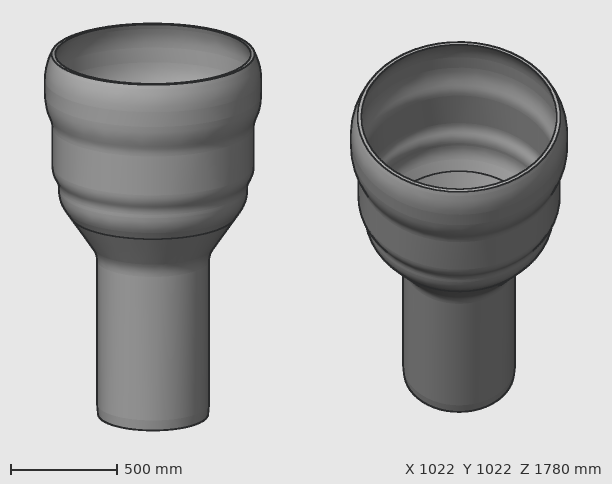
import cadquery as cq
import math

total_height = 1780.0
wall = 16.0

pipe_radius = 530.0 / 2
neck_radius = 890.0 / 2
barrel_radius = 952.0 / 2
bulge_radius = 1022.0 / 2

taper_height = 52.0
taper_depth = 4.5

pipe_top = 762.0
joint_height = 990.0
neck_height = 16.0
barrel_height = 192.0
bulge_height = 73.0

cone_angle = math.radians(34.0)
cone_foot_bend = 121.0
cone_head_bend = 146.0
shoulder_foot_bend = 82.0
shoulder_head_bend = 115.0
bulge_foot_bend = 121.0
bulge_bend = 253.0
shoulder_angle = math.acos(1 - (barrel_radius - neck_radius) / (shoulder_foot_bend + shoulder_head_bend))
bulge_angle = math.acos(1 - (bulge_radius - barrel_radius) / (bulge_foot_bend + bulge_bend))


def go_straight(station, rise):
    """Follow the wall straight up by a given rise."""
    radius, height, lean = station
    return (radius + rise * math.tan(lean), height + rise, lean)


def go_round(station, bend, new_lean):
    """Follow a tangent arc of the given bend radius until the wall has a new lean."""
    radius, height, lean = station
    signed_bend = math.copysign(bend, new_lean - lean)
    return (
        radius + signed_bend * (math.cos(lean) - math.cos(new_lean)),
        height + signed_bend * (math.sin(new_lean) - math.sin(lean)),
        new_lean,
    )


def inner_point(station):
    """Point on the inner surface, one wall thickness square to the outer surface."""
    radius, height, lean = station
    return (radius - wall * math.cos(lean), height + wall * math.sin(lean))


def level_inner_point(station):
    """Point on the inner surface at the same height, for the flat end faces."""
    radius, height, lean = station
    return (radius - wall / math.cos(lean), height)


def outer_point(station):
    return station[:2]


def arc_middle(start, end):
    """Station halfway round the arc between two stations, given in either order."""
    lower, upper = sorted((start, end), key=lambda station: station[1])
    bend = (upper[1] - lower[1]) / abs(math.sin(upper[2]) - math.sin(lower[2]))
    return go_round(lower, bend, (lower[2] + upper[2]) / 2)


def draw_wall(outline, stations, points, place):
    """Add the lines and arcs of one surface to an outline already at its first point."""
    for start, end, point in zip(stations, stations[1:], points[1:]):
        if start[2] == end[2]:
            outline = outline.lineTo(*point)
        else:
            outline = outline.threePointArc(place(arc_middle(start, end)), point)
    return outline


def revolve_shell(stations, foot_taper=0.0):
    """Solid of revolution with a constant wall and flat, level ends."""
    outer = [outer_point(station) for station in stations]
    outer[0] = (outer[0][0] - foot_taper, outer[0][1])
    inner = [inner_point(station) for station in stations]
    inner[0] = level_inner_point(stations[0])
    inner[-1] = level_inner_point(stations[-1])
    outline = cq.Workplane("XZ").moveTo(*outer[0])
    outline = draw_wall(outline, stations, outer, outer_point)
    outline = outline.lineTo(*inner[-1])
    outline = draw_wall(outline, stations[::-1], inner[::-1], inner_point)
    return outline.close().revolve(360, (0, 0, 0), (0, 1, 0))


cone_bend_growth = (cone_foot_bend + cone_head_bend) * (1 - math.cos(cone_angle))
cone_rise = (neck_radius - pipe_radius - cone_bend_growth) / math.tan(cone_angle)
cone_foot = go_round((pipe_radius, pipe_top, 0.0), cone_foot_bend, cone_angle)
lower_cone_rise = joint_height - cone_foot[1]
joint = go_straight(cone_foot, lower_cone_rise)


def make_pipe():
    """Straight pipe with the lower part of the cone."""
    stations = [
        (pipe_radius, 0.0, 0.0),
        (pipe_radius, taper_height, 0.0),
        (pipe_radius, pipe_top, 0.0),
        cone_foot,
        joint,
    ]
    return revolve_shell(stations, taper_depth)


def make_socket():
    """Top of the cone, neck, shoulder, barrel and bulged mouth."""
    stations = [joint]
    stations.append(go_straight(stations[-1], cone_rise - lower_cone_rise))
    stations.append(go_round(stations[-1], cone_head_bend, 0.0))
    stations.append(go_straight(stations[-1], neck_height))
    stations.append(go_round(stations[-1], shoulder_foot_bend, shoulder_angle))
    stations.append(go_round(stations[-1], shoulder_head_bend, 0.0))
    stations.append(go_straight(stations[-1], barrel_height))
    stations.append(go_round(stations[-1], bulge_foot_bend, bulge_angle))
    stations.append(go_round(stations[-1], bulge_bend, 0.0))
    stations.append(go_straight(stations[-1], bulge_height))
    stations.append(go_round(stations[-1], bulge_bend, -bulge_angle))
    stations.append(go_straight(stations[-1], total_height - stations[-1][1]))
    return revolve_shell(stations)


pipe = make_pipe()
socket = make_socket()

result = cq.Compound.makeCompound([pipe.val(), socket.val()])